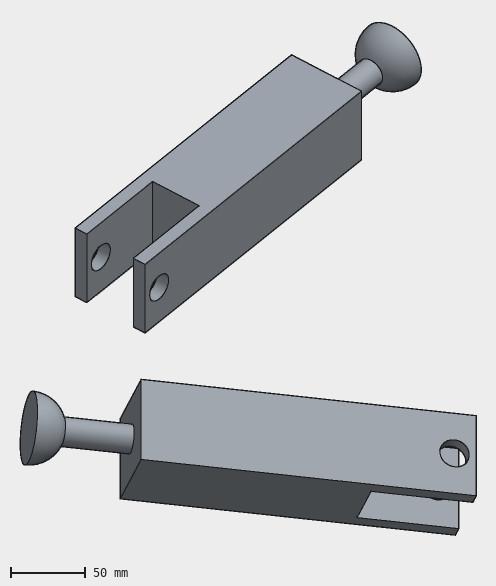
import cadquery as cq

total_length = 300.0
body_side = 60.0
body_length = 230.0
front_y = -total_length / 2
back_y = total_length / 2
body_back_y = front_y + body_length

slot_width = 40.0
slot_depth = 70.0
pin_hole_diameter = 20.0
pin_hole_setback = 15.0

rod_diameter = 20.0
knob_radius = 25.0


def make_body():
    """Square bar with its back end at the foot of the rod."""
    return cq.Workplane("XY").box(body_side, body_length, body_side).translate(
        (0, front_y + body_length / 2, 0)
    )


def make_slot():
    """Opening between the two fork cheeks, through the full height."""
    return cq.Workplane("XY").box(slot_width, slot_depth, body_side).translate(
        (0, front_y + slot_depth / 2, 0)
    )


def make_pin_hole():
    """Cross hole through both cheeks along X."""
    return (
        cq.Workplane("YZ")
        .center(front_y + pin_hole_setback, 0)
        .circle(pin_hole_diameter / 2)
        .extrude(body_side, both=True)
    )


def make_rod_and_knob():
    """Half profile revolved about Y: a rod ending in a half ball with a flat back."""
    rod_radius = rod_diameter / 2
    ball_start_y = back_y - (knob_radius**2 - rod_radius**2) ** 0.5
    diagonal = knob_radius / 2**0.5
    return (
        cq.Workplane("XY")
        .moveTo(0, body_back_y)
        .lineTo(rod_radius, body_back_y)
        .lineTo(rod_radius, ball_start_y)
        .threePointArc((diagonal, back_y - diagonal), (knob_radius, back_y))
        .lineTo(0, back_y)
        .close()
        .revolve(360, (0, 0, 0), (0, 1, 0))
    )


result = make_body().cut(make_slot()).cut(make_pin_hole()).union(make_rod_and_knob())